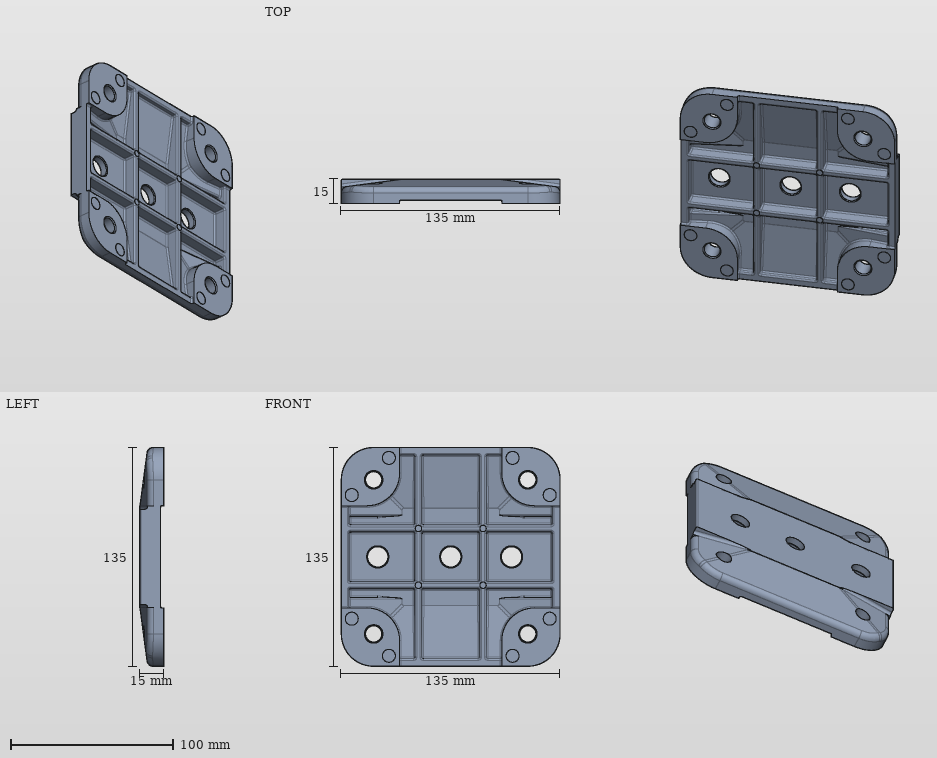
import cadquery as cq
import math

plate_size = 135.0
plate_corner_radius = 20.0
total_thickness = 15.0
foot_step = 2.0
rim_height = total_thickness - foot_step

slope_start = 30.0
edge_drop = 5.0
slope = edge_drop / (plate_size / 2 - slope_start)
back_edge_radius = 4.0
back_edge_margin = 0.8
hip_radius = 10.0
band_half_width = 29.3
band_edge_radius = 1.0
band_cove_radius = 2.0

floor_thickness = 5.0
wall_thickness = 4.7
rib_offset_x = 19.9
rib_offset_z = 17.5
rib_thickness = 3.9
inner_band_half_width = slope_start - floor_thickness
draft_angle = 3.0
pocket_floor_radius = 1.0
mid_floor = floor_thickness / 2
rim_radius = 1.0
post_diameter = 4.0

foot_size = 36.0
foot_inner_radius = 20.0
foot_hole_inset = 20.0
foot_hole_diameter = 10.0
foot_hole_chamfer = 0.7
foot_root_radius = 1.0
mark_diameter = 8.0
mark_depth = 0.1
mark_near_edge = 6.5
mark_far_edge = 29.4

band_hole_positions = (-45.0, 0.0, 37.5)
band_hole_diameter = 12.5
band_hole_chamfer = 0.6

half = plate_size / 2
foot_corner = half - foot_size
tolerance = 0.01
chamfer_angle = 45.0
corner_signs = [(sx, sz) for sx in (-1, 1) for sz in (-1, 1)]
rib_crossings = [(sx * rib_offset_x, sz * rib_offset_z) for sx, sz in corner_signs]



class DiagonalSelector(cq.Selector):
    """Edges that run at 45 degrees between the local x and y directions."""

    def filter(self, objects):
        def is_diagonal(edge):
            tangent = edge.tangentAt(0)
            return abs(tangent.x) > tolerance and abs(abs(tangent.x) - abs(tangent.y)) < tolerance

        return [edge for edge in objects if is_diagonal(edge)]


class HeightSelector(cq.Selector):
    """Edges that lie entirely between two heights."""

    def __init__(self, low, high):
        self.low = low
        self.high = high

    def filter(self, objects):
        boxes = [(edge, edge.BoundingBox()) for edge in objects]
        return [edge for edge, box in boxes if box.zmin > self.low and box.zmax < self.high]


def cut_together(body, tools):
    """Remove several tools from the body in one operation."""
    solids = [solid for tool in tools for solid in tool.solids().vals()]
    return body.cut(cq.Workplane(cq.Compound.makeCompound(solids)))


def outline_prism(height):
    """Square plate outline with rounded corners."""
    prism = cq.Workplane("XY").rect(plate_size, plate_size).extrude(height)
    return prism.edges("|Z").fillet(plate_corner_radius)


def sloped_prism(plane, base):
    """Prism above a flat middle at height base that rises toward both edges."""
    reach = plate_size
    edge_height = base + slope * (reach - slope_start)
    top = edge_height + total_thickness
    profile = [
        (-reach, edge_height),
        (-slope_start, base),
        (slope_start, base),
        (reach, edge_height),
        (reach, top),
        (-reach, top),
    ]
    return cq.Workplane(plane).polyline(profile).close().extrude(reach, both=True)


def hip_roof(base):
    """Everything above a hip roof surface whose four hip lines are rounded."""
    roof = sloped_prism("XZ", base).intersect(sloped_prism("YZ", base))
    return roof.edges(DiagonalSelector()).fillet(hip_radius)


def make_body(height):
    """Plate of a given height with a sloped back and rounded back edges."""
    body = outline_prism(height).intersect(hip_roof(0))
    corner_reach = half - plate_corner_radius * (1 - math.sqrt(0.5))
    corner_drop = slope * (corner_reach - slope_start)
    back_edges = HeightSelector(corner_drop - back_edge_margin, edge_drop + back_edge_margin)
    return body.edges(back_edges).fillet(back_edge_radius)


def make_band():
    """Full-thickness band across the plate, with a cove where the sloped corners meet it."""
    slopes = sloped_prism("XZ", 0).intersect(cq.Workplane("XY").box(plate_size, plate_size, 2 * rim_height))
    tall_wall = cq.Workplane("XY").rect(plate_size, 2 * band_half_width)
    tall_wall = tall_wall.extrude(rim_height, both=True)
    roots = cq.selectors.BoxSelector(
        (-half, -band_half_width - tolerance, -tolerance),
        (half, band_half_width + tolerance, edge_drop + tolerance),
    )
    coved = slopes.union(tall_wall).edges(roots).edges("not |Z").edges("not |Y").fillet(band_cove_radius)
    band = cq.Workplane("XY").rect(plate_size, 2 * (band_half_width + band_cove_radius)).extrude(rim_height)
    return band.intersect(coved).faces("<Z").edges("|Y").edges(">X or <X").fillet(band_edge_radius)


def foot_prism(low, high):
    """The four foot outlines as prisms between two heights."""
    feet = cq.Workplane("XY")
    center = half - foot_size / 2
    for sx, sz in corner_signs:
        foot = cq.Workplane("XY", origin=(sx * center, sz * center, low)).rect(foot_size, foot_size)
        foot = foot.extrude(high - low)
        inner_corner = (sx * foot_corner, sz * foot_corner, (low + high) / 2)
        foot = foot.edges(cq.selectors.NearestToPointSelector(inner_corner)).fillet(foot_inner_radius)
        feet = feet.add(foot)
    return feet.combine()


def pocket_space():
    """Room above the pocket floors: the hip roof plus a deep middle band."""
    deep_band = (
        cq.Workplane("XY", origin=(0, 0, floor_thickness))
        .rect(plate_size, 2 * inner_band_half_width)
        .extrude(total_thickness)
    )
    return hip_roof(floor_thickness).union(deep_band)


def cell_spans(rib_offset):
    """Center and length of the three pockets along one direction."""
    inner = rib_offset - rib_thickness / 2
    outer = rib_offset + rib_thickness / 2
    edge = half - wall_thickness
    return [(-(outer + edge) / 2, edge - outer), (0, 2 * inner), ((outer + edge) / 2, edge - outer)]


def cut_pockets(body):
    """Nine drafted pockets between the ribs, with rounded floors."""
    space = pocket_space()
    pockets = []
    for x, x_length in cell_spans(rib_offset_x):
        for z, z_length in cell_spans(rib_offset_z):
            cell = cq.Workplane("XY", origin=(x, z, rim_height)).rect(x_length, z_length)
            cell = cell.extrude(-rim_height, taper=draft_angle)
            if x != 0 and z != 0:
                outer_corner = (math.copysign(half, x), math.copysign(half, z), rim_height / 2)
                outer_edge = cell.edges(cq.selectors.NearestToPointSelector(outer_corner))
                cell = outer_edge.fillet(plate_corner_radius - wall_thickness)
            pocket = cell.intersect(space)
            pockets.append(pocket.faces("not >Z").edges("not >Z").fillet(pocket_floor_radius))
    return cut_together(body, pockets)


def on_foot_outline(edge):
    """Whether an edge runs along the inner outline of a foot."""
    arc_center = foot_corner + foot_inner_radius
    for position in (0.1, 0.5, 0.9):
        point = edge.positionAt(position)
        x = abs(point.x)
        z = abs(point.y)
        if x < arc_center and z < arc_center:
            distance = math.hypot(x - arc_center, z - arc_center) - foot_inner_radius
        else:
            distance = min(x, z) - foot_corner
        if abs(distance) > tolerance:
            return False
    return True


class FootRootSelector(cq.Selector):
    """Edges where the feet rise out of the rim and the pockets."""

    def filter(self, objects):
        def is_root(edge):
            box = edge.BoundingBox()
            is_upright = max(box.xlen, box.ylen) < tolerance
            return on_foot_outline(edge) and not is_upright and box.zmax < rim_height + tolerance

        return [edge for edge in objects if is_root(edge)]


def add_feet(body):
    """Corner pads that fill the pocket corners and stand above the rim."""
    feet = foot_prism(mid_floor, total_thickness)
    feet = feet.intersect(make_body(total_thickness)).intersect(hip_roof(mid_floor))
    return body.union(feet).edges(FootRootSelector()).fillet(foot_root_radius)


def round_rims(body):
    """Rounded openings of all nine pockets."""
    rim_wires = body.faces(">Z").val().innerWires()
    return body.newObject(rim_wires).edges().fillet(rim_radius)


def add_posts(body):
    """Round posts, flush with the rim, where the ribs cross."""
    posts = (
        cq.Workplane("XY", origin=(0, 0, mid_floor))
        .pushPoints(rib_crossings)
        .circle(post_diameter / 2)
        .extrude(rim_height - mid_floor)
    )
    return body.union(posts)


def chamfered_holes(points, diameter, chamfer, face_height):
    """Cutters for through holes whose rim at face_height is chamfered."""
    holes = cq.Workplane("XY").pushPoints(points).circle(diameter / 2).extrude(face_height)
    cones = (
        cq.Workplane("XY", origin=(0, 0, face_height))
        .pushPoints(points)
        .circle(diameter / 2 + chamfer)
        .extrude(-chamfer, taper=chamfer_angle)
    )
    return holes.union(cones)


def cut_holes(body):
    """Through holes along the middle band and one in every foot."""
    band_points = [(x, 0) for x in band_hole_positions]
    band_holes = chamfered_holes(band_points, band_hole_diameter, band_hole_chamfer, floor_thickness)
    foot_center = half - foot_hole_inset
    foot_points = [(sx * foot_center, sz * foot_center) for sx, sz in corner_signs]
    foot_holes = chamfered_holes(foot_points, foot_hole_diameter, foot_hole_chamfer, total_thickness)
    return cut_together(body, [band_holes, foot_holes])


def round_marks(points, diameter, face_height):
    """Cutters for shallow round marks in a face at face_height."""
    marks = cq.Workplane("XY", origin=(0, 0, face_height)).pushPoints(points)
    return marks.circle(diameter / 2).extrude(-mark_depth)


def cut_marks(body):
    """Two shallow round marks on the face of every foot and one on every post."""
    near = half - mark_near_edge
    far = half - mark_far_edge
    foot_points = []
    for sx, sz in corner_signs:
        foot_points += [(sx * near, sz * far), (sx * far, sz * near)]
    foot_marks = round_marks(foot_points, mark_diameter, total_thickness)
    post_marks = round_marks(rib_crossings, post_diameter, rim_height)
    return cut_together(body, [foot_marks, post_marks])


body = make_body(rim_height).union(make_band())
body = cut_pockets(body)
body = round_rims(body)
body = add_feet(body)
body = add_posts(body)
body = cut_holes(body)
body = cut_marks(body)

result = body.rotate((0, 0, 0), (1, 0, 0), 90).translate((0, total_thickness, 0))